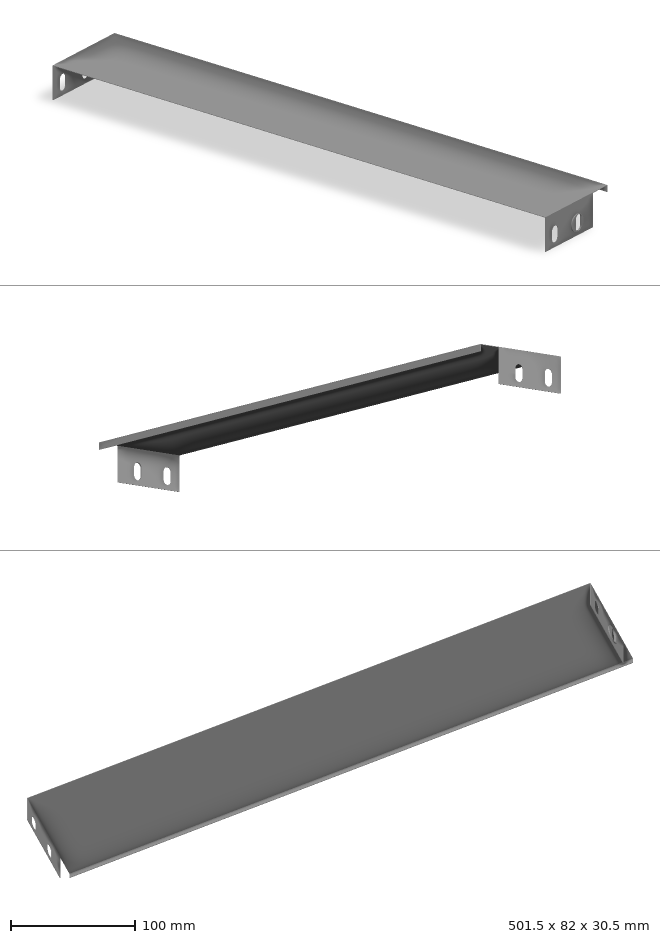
import cadquery as cq

total_length = 501.5
depth = 82.0
height = 30.5

sheet = 0.5
lip_height = 6.0
flange_width = 63.0

slot_length = 14.5
slot_width = 7.5
slot_drop = 19.0
first_slot_offset = 12.5
slot_pitch = 30.0
collar_diameter = 15.5
collar_height = 1.0
collar_y = 0.5

body_length = total_length - collar_height
right_face = body_length / 2
front_edge = -depth / 2
back_edge = depth / 2
slot_positions = [front_edge + first_slot_offset + i * slot_pitch for i in range(2)]


def box_from(x, y, z, x_size, y_size, z_size):
    """Box whose minimum corner is at (x, y, z)."""
    return cq.Workplane("XY").box(x_size, y_size, z_size, centered=False).translate((x, y, z))


def end_flange(x):
    """Flange hanging from one end of the top plate, flush with the front edge."""
    return box_from(x, front_edge, -height, sheet, flange_width, height)


def end_to_end_slots():
    """Round-ended slot cutters passing through both flanges and the collar."""
    return (
        cq.Workplane("YZ", origin=(-total_length, 0, 0))
        .pushPoints([(y, -slot_drop) for y in slot_positions])
        .slot2D(slot_length, slot_width, 90)
        .extrude(2 * total_length)
    )


top_plate = box_from(-right_face, front_edge, -sheet, body_length, depth, sheet)
back_lip = box_from(-right_face, back_edge - sheet, -lip_height, body_length, sheet, lip_height)

collar = (
    cq.Workplane("YZ", origin=(right_face, 0, 0))
    .center(collar_y, -slot_drop)
    .circle(collar_diameter / 2)
    .extrude(collar_height)
)

result = (
    top_plate
    .union(back_lip)
    .union(end_flange(-right_face))
    .union(end_flange(right_face - sheet))
    .union(collar)
    .cut(end_to_end_slots())
)